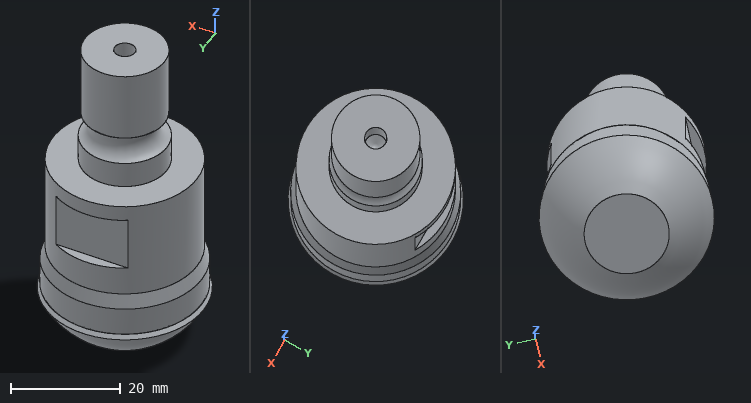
import cadquery as cq

base_radius = 7.75
rim_radius = 16.0
rim_z = 8.6
nose_mid_radius = 11.25
nose_mid_z = 2.6
neck_radius = 15.25
neck_bottom_z = 9.3
band_radius = 15.5
band_bottom_z = 9.55
band_top_z = 15.3
body_radius = 14.55
body_bottom_z = 18.05
body_top_z = 38.1

flat_offset = 12.45
flat_bottom_z = 24.0
flat_top_z = 34.95

collar_radius = 8.5
collar_top_z = 43.4
groove_radius = 6.55
groove_top_z = 48.85
stud_radius = 8.05
stud_top_z = 62.95

hole_radius = 2.0
hole_depth = 6.3
hole_tip_depth = 1.15


def cut_wrench_flats(body):
    flat_depth = body_radius - flat_offset
    flat_height = flat_top_z - flat_bottom_z
    flat_middle = (flat_bottom_z + flat_top_z) / 2
    for side in (-1, 1):
        cutter = (
            cq.Workplane("XY")
            .box(2 * body_radius, 2 * flat_depth, flat_height)
            .translate((0, side * (flat_offset + flat_depth), flat_middle))
        )
        body = body.cut(cutter)
    return body


def make_housing():
    body = (
        cq.Workplane("XZ")
        .lineTo(base_radius, 0)
        .threePointArc((nose_mid_radius, nose_mid_z), (rim_radius, rim_z))
        .lineTo(neck_radius, neck_bottom_z)
        .lineTo(neck_radius, band_bottom_z)
        .lineTo(band_radius, band_bottom_z)
        .lineTo(band_radius, band_top_z)
        .lineTo(body_radius, body_bottom_z)
        .lineTo(body_radius, body_top_z)
        .lineTo(0, body_top_z)
        .close()
        .revolve(360, (0, 0), (0, 1))
    )
    return cut_wrench_flats(body)


def make_stud():
    groove_middle_z = (collar_top_z + groove_top_z) / 2
    hole_bottom_z = stud_top_z - hole_depth
    return (
        cq.Workplane("XZ")
        .moveTo(0, body_top_z)
        .lineTo(collar_radius, body_top_z)
        .lineTo(collar_radius, collar_top_z)
        .threePointArc((groove_radius, groove_middle_z), (stud_radius, groove_top_z))
        .lineTo(stud_radius, stud_top_z)
        .lineTo(hole_radius, stud_top_z)
        .lineTo(hole_radius, hole_bottom_z)
        .lineTo(0, hole_bottom_z - hole_tip_depth)
        .close()
        .revolve(360, (0, 0), (0, 1))
    )


housing = make_housing()
stud = make_stud()
result = cq.Compound.makeCompound([housing.val(), stud.val()])